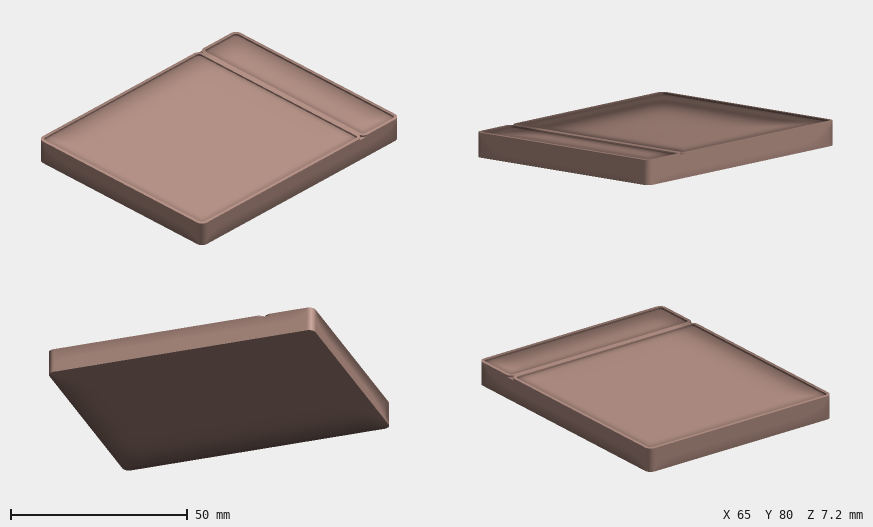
import cadquery as cq

width = 65.0
length = 80
height = 7.2
corner_radius = 2.0

rim_width = 1.0
rim_height = 0.6
back_tray_length = 15.0
front_tray_length = length - back_tray_length
base_height = height - rim_height


def rounded_block(block_width, block_length, block_height, radius):
    """Block standing on Z = 0 with rounded vertical edges."""
    block = cq.Workplane("XY").box(block_width, block_length, block_height, centered=(True, True, False))
    return block.edges("|Z").fillet(radius)


def tray_rim(tray_length, center_y):
    """Raised rim of constant width around one tray, standing on the base."""
    outer = rounded_block(width, tray_length, rim_height, corner_radius)
    opening = rounded_block(
        width - 2 * rim_width,
        tray_length - 2 * rim_width,
        rim_height,
        corner_radius - rim_width,
    )
    return outer.cut(opening).translate((0, center_y, base_height))


base = rounded_block(width, length, base_height, corner_radius)

back_rim = tray_rim(back_tray_length, (length - back_tray_length) / 2)
front_rim = tray_rim(front_tray_length, (front_tray_length - length) / 2)

result = base.union(back_rim).union(front_rim).clean()